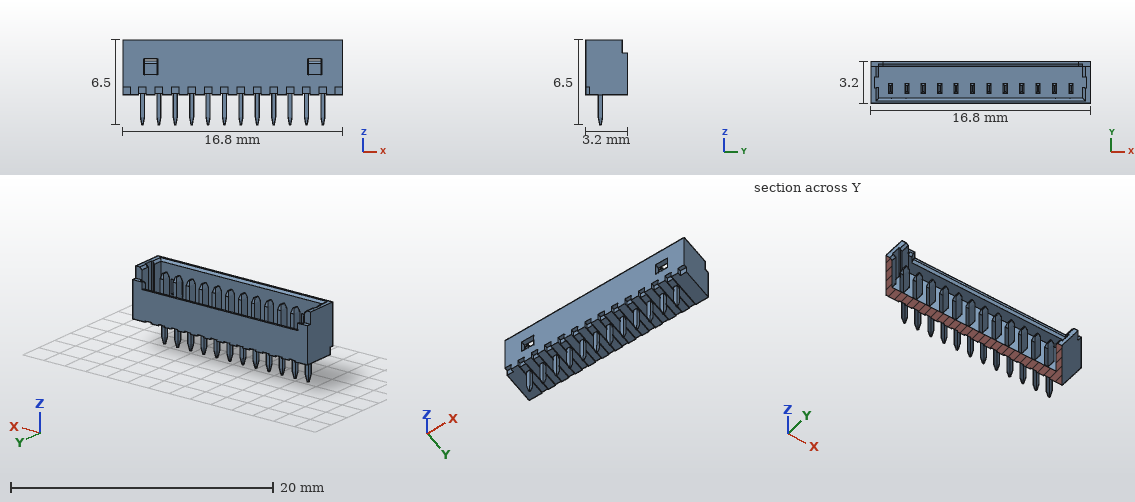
import cadquery as cq

PIN_COUNT = 12
PIN_PITCH = 1.25
PIN_Y = 1.125

END_MARGIN = 1.5
LENGTH = (PIN_COUNT - 1) * PIN_PITCH + 2 * END_MARGIN
DEPTH = 3.2
HEIGHT = 4.2
WALL = 0.4
END_WALL = 0.6
FLOOR = 1.2
LEAD_IN = 0.2

BACK_END_HEIGHT = 3.2
BACK_MID_HEIGHT = 2.6
BACK_END_LENGTH = 0.93

GROOVE_Y = 1.6
GROOVE_WIDTH = 0.8
UNDERCUT_WIDTH = 0.85
UNDERCUT_START = 0.15
GROOVE_DEPTH = 0.3

WINDOW_WIDTH = 1.11
WINDOW_BOTTOM = 1.55
WINDOW_TOP = 2.75

NOTCH_WIDTH = 0.57
NOTCH_DEPTH = 0.3
NOTCH_HEIGHT = 0.6
CHANNEL_HEIGHT = 0.1

BLADE_X = 0.32
BLADE_Y = 0.75
BLADE_TIP_X = 0.1
BLADE_TIP_Y = 0.45
BLADE_TOP = 3.47
BLADE_TIP_HEIGHT = 0.4

TAIL_X = 0.32
TAIL_Y = 0.35
TAIL_TIP_X = 0.1
TAIL_TIP_Y = 0.12
TAIL_LENGTH = 2.3
TAIL_TIP_HEIGHT = 0.6

FIRST_PIN_X = -(PIN_COUNT - 1) * PIN_PITCH / 2
PIN_XS = [FIRST_PIN_X + i * PIN_PITCH for i in range(PIN_COUNT)]
CAVITY_LENGTH = LENGTH - 2 * END_WALL
CAVITY_BACK = DEPTH - WALL


def box(x_centre, x_size, y_min, y_max, z_min, z_max):
    """Block centred on x_centre, spanning the given Y and Z ranges."""
    block = cq.Workplane("XY").box(x_size, y_max - y_min, z_max - z_min, centered=(True, False, False))
    return block.translate((x_centre, y_min, z_min))


def tapered_tip(x, z_base, base_size, z_end, end_size):
    """Four-sided tip on a contact, between two rectangles centred on the contact axis."""
    base = cq.Workplane("XY", origin=(x, PIN_Y, z_base)).rect(*base_size)
    return base.workplane(offset=z_end - z_base).rect(*end_size).loft(ruled=True)


def back_bevel(length, wall_top):
    """Wedge removed from the inner top edge of the back wall."""
    profile = [
        (CAVITY_BACK, wall_top - LEAD_IN),
        (CAVITY_BACK, wall_top),
        (CAVITY_BACK + LEAD_IN, wall_top),
    ]
    return cq.Workplane("YZ").polyline(profile).close().extrude(length / 2, both=True)


def cavity():
    """Cavity that flares to the front and the ends at its mouth."""
    z_flare = HEIGHT - LEAD_IN
    well = box(0, CAVITY_LENGTH, WALL, CAVITY_BACK, FLOOR, HEIGHT)
    flare_length = CAVITY_LENGTH + 2 * LEAD_IN
    flare_front = WALL - LEAD_IN
    flare = (
        cq.Workplane("XY", origin=(0, CAVITY_BACK, z_flare))
        .rect(CAVITY_LENGTH, 2 * (CAVITY_BACK - WALL))
        .workplane(offset=LEAD_IN)
        .rect(flare_length, 2 * (CAVITY_BACK - flare_front))
        .loft(ruled=True)
        .intersect(box(0, LENGTH, 0, CAVITY_BACK, 0, HEIGHT))
    )
    return well.union(flare)


def cut_back_wall(body):
    """Step the back wall down and bevel its inner top edge."""
    mid_length = LENGTH - 2 * BACK_END_LENGTH
    body = body.cut(box(0, LENGTH, CAVITY_BACK, DEPTH, BACK_END_HEIGHT, HEIGHT))
    body = body.cut(box(0, mid_length, CAVITY_BACK, DEPTH, BACK_MID_HEIGHT, HEIGHT))
    body = body.cut(back_bevel(CAVITY_LENGTH, BACK_END_HEIGHT))
    return body.cut(back_bevel(mid_length, BACK_MID_HEIGHT))


def groove_cutter(x_centre, x_size, width):
    """Block for the end wall groove, from the cavity floor to the top."""
    return box(x_centre, x_size, GROOVE_Y - width / 2, GROOVE_Y + width / 2, FLOOR, HEIGHT)


def cut_end_details(body):
    """Cut the groove, window and corner notch at each end."""
    groove_centre_x = (CAVITY_LENGTH + GROOVE_DEPTH) / 2
    undercut_depth = GROOVE_DEPTH - UNDERCUT_START
    undercut_x = CAVITY_LENGTH / 2 + UNDERCUT_START + undercut_depth / 2
    window_x = -FIRST_PIN_X - PIN_PITCH / 2
    corner_x = (LENGTH - NOTCH_WIDTH) / 2
    for side in (-1, 1):
        body = body.cut(groove_cutter(side * groove_centre_x, GROOVE_DEPTH, GROOVE_WIDTH))
        body = body.cut(groove_cutter(side * undercut_x, undercut_depth, UNDERCUT_WIDTH))
        body = body.cut(box(side * window_x, WINDOW_WIDTH, 0, WALL, WINDOW_BOTTOM, WINDOW_TOP))
        body = body.cut(box(side * corner_x, NOTCH_WIDTH, 0, NOTCH_DEPTH, 0, NOTCH_HEIGHT))
    return body


def cut_underside(body):
    """Cut a front notch and a full-depth channel below every contact."""
    for x in PIN_XS:
        body = body.cut(box(x, NOTCH_WIDTH, 0, NOTCH_DEPTH, 0, NOTCH_HEIGHT))
        body = body.cut(box(x, NOTCH_WIDTH, 0, DEPTH, 0, CHANNEL_HEIGHT))
    return body


def contact(x):
    """Blade above the floor and tail below it, each ending in a tapered tip."""
    blade_shoulder = BLADE_TOP - BLADE_TIP_HEIGHT
    tail_shoulder = TAIL_TIP_HEIGHT - TAIL_LENGTH
    z_join = FLOOR / 2
    blade = box(x, BLADE_X, PIN_Y - BLADE_Y / 2, PIN_Y + BLADE_Y / 2, z_join, blade_shoulder)
    tail = box(x, TAIL_X, PIN_Y - TAIL_Y / 2, PIN_Y + TAIL_Y / 2, tail_shoulder, z_join)
    blade_tip = tapered_tip(x, blade_shoulder, (BLADE_X, BLADE_Y), BLADE_TOP, (BLADE_TIP_X, BLADE_TIP_Y))
    tail_tip = tapered_tip(x, tail_shoulder, (TAIL_X, TAIL_Y), -TAIL_LENGTH, (TAIL_TIP_X, TAIL_TIP_Y))
    return blade.union(blade_tip).union(tail).union(tail_tip)


housing = box(0, LENGTH, 0, DEPTH, 0, HEIGHT).cut(cavity())
housing = cut_back_wall(housing)
housing = cut_end_details(housing)
housing = cut_underside(housing)

result = housing
for pin_x in PIN_XS:
    result = result.union(contact(pin_x))